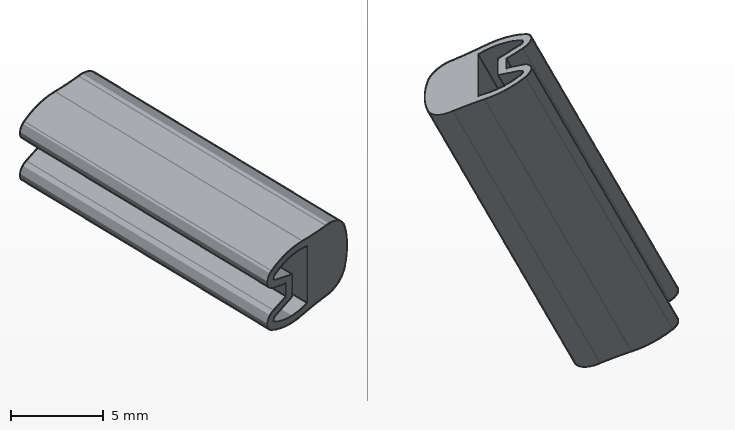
import cadquery as cq

length = 18.0
depth = 6.4
height = 5.4
back_y = depth / 2
nose_y = -depth / 2
wall = 0.5

back_middle = (back_y, 0)
back_end = (3.0, 1.5)
corner_middle = (2.45, 2.27)
corner_end = (1.5, 2.54)
neck_middle = (0.54, 2.57)
neck_end = (-0.4, 2.66)
crown_top = (-0.97, height / 2)
crown_end = (-2.86, 2.15)
nose_tip = (nose_y, 1.45)
nose_end = (-2.7, 0.81)
groove_corner = (-1.71, 0.47)

cavity_back = (-0.02, 2.05)
cavity_crown = (crown_top[0], crown_top[1] - wall)
cavity_crown_end = (-2.55, 1.73)
cavity_tip = (nose_y + wall, 1.5)
cavity_nose_end = (-2.55, 1.3)
cavity_groove_corner = (groove_corner[0] + wall, 0.81)


def lower(point):
    """Mirror a profile point to the lower half."""
    return (point[0], -point[1])


def outer_body():
    return (
        cq.Workplane("YZ")
        .moveTo(*lower(back_end))
        .threePointArc(back_middle, back_end)
        .threePointArc(corner_middle, corner_end)
        .threePointArc(neck_middle, neck_end)
        .threePointArc(crown_top, crown_end)
        .threePointArc(nose_tip, nose_end)
        .lineTo(*groove_corner)
        .lineTo(*lower(groove_corner))
        .lineTo(*lower(nose_end))
        .threePointArc(lower(nose_tip), lower(crown_end))
        .threePointArc(lower(crown_top), lower(neck_end))
        .threePointArc(lower(neck_middle), lower(corner_end))
        .threePointArc(lower(corner_middle), lower(back_end))
        .close()
        .extrude(length / 2, both=True)
    )


def cavity():
    return (
        cq.Workplane("YZ")
        .moveTo(*cavity_back)
        .threePointArc(cavity_crown, cavity_crown_end)
        .threePointArc(cavity_tip, cavity_nose_end)
        .lineTo(*cavity_groove_corner)
        .lineTo(*lower(cavity_groove_corner))
        .lineTo(*lower(cavity_nose_end))
        .threePointArc(lower(cavity_tip), lower(cavity_crown_end))
        .threePointArc(lower(cavity_crown), lower(cavity_back))
        .close()
        .extrude(length / 2, both=True)
    )


result = outer_body().cut(cavity())